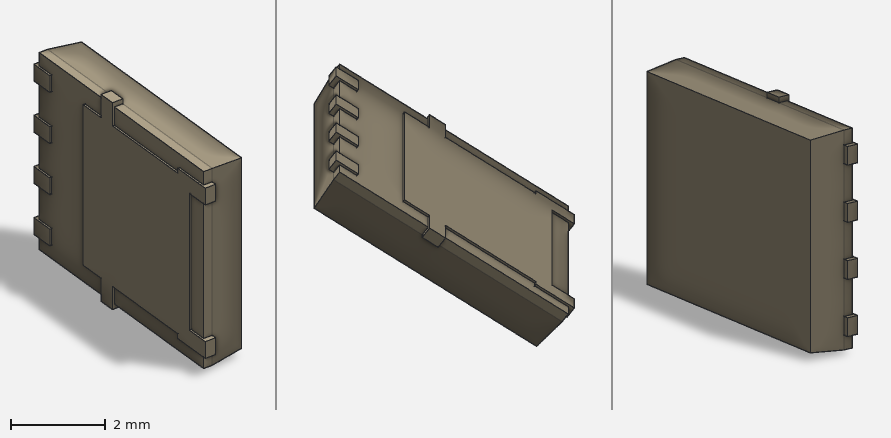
import cadquery as cq

overall_width = 6.15
overall_depth = 1.1
overall_height = 5.15

lead_overhang = 0.12
standoff = 0.05
taper_inset = 0.08

lead_count = 4
lead_pitch = 1.27
lead_length = 0.57
lead_width = 0.42
lead_thickness = 0.27

pad_left_gap = 1.765
pad_height = 4.0
corner_tab_root = 0.99
side_tab_offset = 2.41
side_tab_width = 0.41

left_tip = -overall_width / 2
right_tip = overall_width / 2
housing_width = overall_width - 2 * lead_overhang
housing_height = overall_height - 2 * lead_overhang
lead_centres = [(i - (lead_count - 1) / 2) * lead_pitch for i in range(lead_count)]


def block(x_min, x_max, z_centre, height, y_min, y_max):
    """Rectangular block centred on z_centre."""
    return (
        cq.Workplane("XY")
        .box(x_max - x_min, y_max - y_min, height, centered=(False, False, True))
        .translate((x_min, y_min, z_centre))
    )


def make_lead(z_centre):
    """One flat lead, reaching in from the left tip."""
    return block(left_tip, left_tip + lead_length, z_centre, lead_width, 0, lead_thickness)


def make_pad():
    """Thermal pad with two side tabs at its Z ends and two corner tabs on the right."""
    pad = block(left_tip + pad_left_gap, right_tip - lead_length, 0, pad_height, 0, lead_thickness)
    side_tab_left = left_tip + side_tab_offset
    side_tabs = block(
        side_tab_left, side_tab_left + side_tab_width, 0, overall_height, 0, lead_thickness
    )
    pad = pad.union(side_tabs)
    for z_centre in (lead_centres[0], lead_centres[-1]):
        corner_tab = block(
            right_tip - corner_tab_root, right_tip, z_centre, lead_width, 0, lead_thickness
        )
        pad = pad.union(corner_tab)
    return pad


def make_housing(embedded_bodies):
    """Straight-walled base and drafted back in one solid, recessed for the leads and pad."""
    base = block(-housing_width / 2, housing_width / 2, 0, housing_height, standoff, lead_thickness)
    drafted_back = (
        cq.Workplane("XZ", origin=(0, lead_thickness, 0))
        .rect(housing_width, housing_height)
        .workplane(offset=lead_thickness - overall_depth)
        .rect(housing_width - 2 * taper_inset, housing_height - 2 * taper_inset)
        .loft(ruled=True)
    )
    housing = base.union(drafted_back)
    for body in embedded_bodies:
        housing = housing.cut(body)
    return housing


leads = [make_lead(z_centre) for z_centre in lead_centres]
pad = make_pad()
housing = make_housing([*leads, pad])

bodies = [housing, pad, *leads]
result = cq.Compound.makeCompound([body.solids().val() for body in bodies])